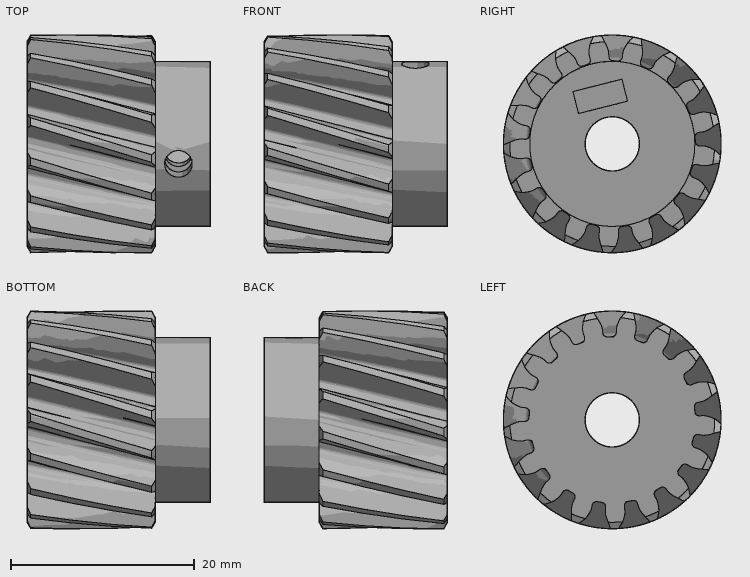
import cadquery as cq
import math

tooth_count = 17
tip_diameter = 23.75
addendum_factor = 1.0
dedendum_factor = 1.25
pressure_angle = math.radians(20)
helix_twist = 20.8
first_gap_angle = 88.2
root_fillet = 0.48
flank_steps = 6

gear_width = 14.0
total_length = 20.0
hub_diameter = 18.0
bore_diameter = 5.9
tip_chamfer_axial = 0.4
tip_chamfer_radial = 0.71

screw_hole_diameter = 3.0
screw_hole_setback = 2.52
screw_hole_tilt = 14.2

nut_slot_bottom = 4.1
nut_slot_thickness = 2.47
nut_slot_width = 5.5

module = tip_diameter / (tooth_count + 2 * addendum_factor)
tip_radius = tip_diameter / 2
pitch_radius = module * tooth_count / 2
root_radius = pitch_radius - dedendum_factor * module
base_radius = pitch_radius * math.cos(pressure_angle)
hub_length = total_length - gear_width
screw_hole_x = gear_width + screw_hole_setback


def involute(angle):
    return math.tan(angle) - angle


base_half_gap = math.pi / (2 * tooth_count) - involute(pressure_angle)

fillet_center_radius = root_radius + root_fillet
fillet_half_angle = math.asin(root_fillet / fillet_center_radius)
wall_radius = fillet_center_radius * math.cos(fillet_half_angle)


def polar(radius, angle):
    return (radius * math.cos(angle), radius * math.sin(angle))


def flank(gap_angle, side):
    """Points of one flank: a radial start above the root fillet, then an involute to the tip."""
    points = [polar(wall_radius, gap_angle + side * base_half_gap)]
    for i in range(flank_steps + 1):
        radius = base_radius + (tip_radius - base_radius) * (i / flank_steps) ** 2
        half_gap = base_half_gap + involute(math.acos(base_radius / radius))
        points.append(polar(radius, gap_angle + side * half_gap))
    return points


def root_corner(gap_angle, side):
    """Fillet arc from the root circle to the radial wall under a flank: root end and middle."""
    center_angle = gap_angle + side * (base_half_gap - fillet_half_angle)
    center_x, center_y = polar(fillet_center_radius, center_angle)
    root_end = polar(root_radius, center_angle)
    wall_end = polar(wall_radius, gap_angle + side * base_half_gap)
    bisector_x = (root_end[0] + wall_end[0]) / 2 - center_x
    bisector_y = (root_end[1] + wall_end[1]) / 2 - center_y
    stretch = root_fillet / math.hypot(bisector_x, bisector_y)
    middle = (center_x + bisector_x * stretch, center_y + bisector_y * stretch)
    return root_end, middle


def gear_outline():
    """Closed outline of all teeth on the -X face, gap by gap."""
    pitch_angle = 2 * math.pi / tooth_count
    start_angle = math.radians(first_gap_angle)
    outline = cq.Workplane("YZ").moveTo(*flank(start_angle, -1)[-1])
    for i in range(tooth_count):
        gap_angle = start_angle + i * pitch_angle
        flank_in = flank(gap_angle, -1)[::-1]
        flank_out = flank(gap_angle, 1)
        in_root, in_middle = root_corner(gap_angle, -1)
        out_root, out_middle = root_corner(gap_angle, 1)
        next_gap = flank(gap_angle + pitch_angle, -1)[-1]
        outline = (
            outline.spline(flank_in[1:], includeCurrent=True)
            .threePointArc(in_middle, in_root)
            .threePointArc(polar(root_radius, gap_angle), out_root)
            .threePointArc(out_middle, flank_out[0])
            .spline(flank_out[1:], includeCurrent=True)
            .threePointArc(polar(tip_radius, gap_angle + pitch_angle / 2), next_gap)
        )
    return outline.close()


def chamfered_blank():
    """Solid of revolution that trims the tooth tips at both ends of the gear."""
    face_radius = tip_radius - tip_chamfer_radial
    return (
        cq.Workplane("XY")
        .polyline([
            (0, 0),
            (0, face_radius),
            (tip_chamfer_axial, tip_radius),
            (gear_width - tip_chamfer_axial, tip_radius),
            (gear_width, face_radius),
            (gear_width, 0),
        ])
        .close()
        .revolve(360, (0, 0, 0), (1, 0, 0))
    )


def set_screw_cut():
    """Radial screw hole into the bore, crossed by a nut slot open at the hub end."""
    hole = (
        cq.Workplane("XY", origin=(screw_hole_x, 0, 0))
        .circle(screw_hole_diameter / 2)
        .extrude(hub_diameter)
    )
    slot_start = screw_hole_x - nut_slot_width / 2
    nut_slot = cq.Workplane("XY", origin=(slot_start, 0, nut_slot_bottom)).box(
        total_length - slot_start,
        nut_slot_width,
        nut_slot_thickness,
        centered=(False, True, False),
    )
    return hole.union(nut_slot).rotate((0, 0, 0), (1, 0, 0), screw_hole_tilt)


gear = gear_outline().twistExtrude(gear_width, helix_twist).intersect(chamfered_blank())
hub = cq.Workplane("YZ", origin=(gear_width, 0, 0)).circle(hub_diameter / 2).extrude(hub_length)
bore = cq.Workplane("YZ").circle(bore_diameter / 2).extrude(total_length)

result = gear.union(hub).cut(bore).cut(set_screw_cut())